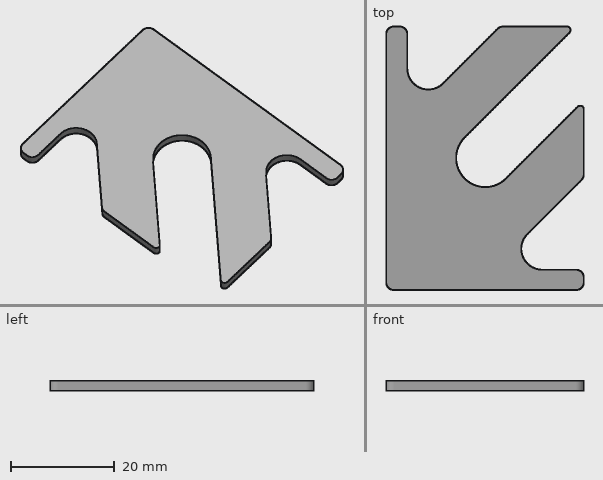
import cadquery as cq
import math

width = 38.1
height = 50.8
thickness = 2.0

left_arm_width = 4.1
bottom_arm_width = 3.95
flared_slot_radius = 4.0
upper_slot_x = left_arm_width + flared_slot_radius
upper_slot_y = 42.65
lower_slot_x = 30.05
lower_slot_y = bottom_arm_width + flared_slot_radius

main_slot_radius = 5.6
main_slot_x = 19.1
main_slot_y = 25.45

corner_radius = 1.5
tip_radius = 0.7

diagonal_angle = 45
cutter_length = width + height


def slot(center_x, center_y, radius, angle):
    """Round-bottomed slot running from its center outwards at the given angle."""
    channel = cq.Workplane("XY").rect(cutter_length, 2 * radius).extrude(thickness)
    channel = channel.translate((cutter_length / 2, 0, 0))
    bottom = cq.Workplane("XY").circle(radius).extrude(thickness)
    cutter = channel.union(bottom).rotate((0, 0, 0), (0, 0, 1), angle)
    return cutter.translate((center_x, center_y, 0))


def flared_slot(center_x, center_y, arm_angle):
    """Slot with one wall along an arm and the other on the diagonal."""
    along_arm = slot(center_x, center_y, flared_slot_radius, arm_angle)
    along_diagonal = slot(center_x, center_y, flared_slot_radius, diagonal_angle)
    return along_arm.union(along_diagonal)


def round_corners(body, corners, radius):
    """Round the upright edges standing at the given corner points."""
    for x, y in corners:
        edge = cq.selectors.NearestToPointSelector((x, y, thickness / 2))
        body = body.edges("|Z").edges(edge).fillet(radius)
    return body


plate = cq.Workplane("XY").rect(width, height, centered=False).extrude(thickness)
plate = plate.cut(flared_slot(upper_slot_x, upper_slot_y, 90))
plate = plate.cut(flared_slot(lower_slot_x, lower_slot_y, 0))
plate = plate.cut(slot(main_slot_x, main_slot_y, main_slot_radius, diagonal_angle))

flared_shift = flared_slot_radius * math.sqrt(2)
main_shift = main_slot_radius * math.sqrt(2)

blunt_corners = [
    (0, 0),
    (0, height),
    (left_arm_width, height),
    (width, 0),
    (width, bottom_arm_width),
    (upper_slot_x + height - upper_slot_y + flared_shift, height),
    (width, lower_slot_y + width - lower_slot_x + flared_shift),
]

finger_tips = [
    (main_slot_x + height - main_slot_y - main_shift, height),
    (width, main_slot_y + width - main_slot_x - main_shift),
]

plate = round_corners(plate, blunt_corners, corner_radius)
result = round_corners(plate, finger_tips, tip_radius)